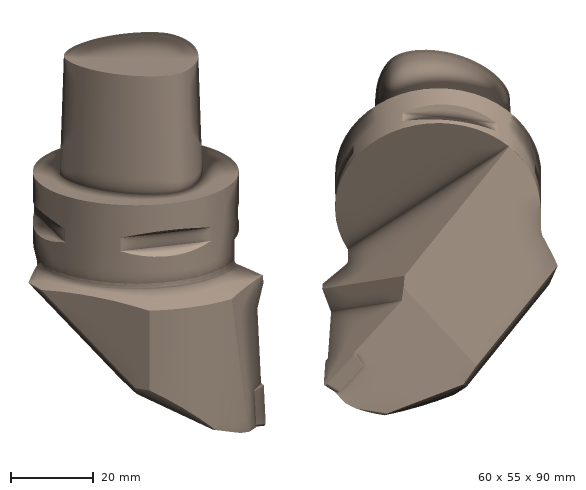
import cadquery as cq
import math


SHANK_HEIGHT = 30.0
SHANK_BASE_RADIUS = 17.3
SHANK_TIP_RADIUS = 16.3
SHANK_LOBE = 1.2
SHANK_POINTS = 48

FLANGE_DIAMETER = 50.0
FLANGE_RADIUS = FLANGE_DIAMETER / 2
FLANGE_HEIGHT = 14.9
GROOVE_COUNT = 4
GROOVE_FLOOR_DISTANCE = 22.1
GROOVE_FLOOR_WIDTH = 3.4
GROOVE_CENTER_Z = -10.2
GROOVE_OVERCUT = 0.9
GROOVE_WALL_ANGLE = 30

HEAD_RADIUS = 35.1
HEAD_BACK_Y = 3.9
HEAD_FRONT_Y = -30.0
HEAD_BOTTOM_Z = -60.0
NECK_BOTTOM_Z = -20.1
NECK_FILLET = 1.1
SHOULDER_ANGLE = 15
SLOPE_ANGLE = 40
SLOPE_KINK_X = 9.0
SLOPE_KINK_Z = -43.4
UNDERSIDE_ANGLE = 32
SIDE_TOP_X = 32.4
SIDE_TOP_Z = -23.0
SIDE_ANGLE = 3
SLOPE_CHAMFER = 3.1
FRONT_BEVEL_TOP_Z = -44.0
RELIEF_Y = -17.8
RELIEF_RATIO = 0.35

POCKET_ANGLE = 34
POCKET_EDGE_X = 7.3
POCKET_EDGE_Z = -41.9
POCKET_RAMP_WIDTH = 4.5
POCKET_DEPTH = 36.0

INSERT_SIDE = 11.2
INSERT_POINT_ANGLE = 55
INSERT_THICKNESS = 4.1
INSERT_CLEARANCE_ANGLE = 7
INSERT_NOSE_RADIUS = 0.8
INSERT_TIP_X = 35.0
INSERT_TIP_Z = HEAD_BOTTOM_Z


def tan_deg(angle):
    return math.tan(math.radians(angle))


def direction(angle):
    """Unit vector at an angle from +X in the XZ plane."""
    return cq.Vector(math.cos(math.radians(angle)), 0, math.sin(math.radians(angle)))


def lobed_outline(radius, height):
    """Closed three-lobed curve of constant width, with one lobe toward +Y."""
    points = []
    for i in range(SHANK_POINTS):
        t = 2 * math.pi * i / SHANK_POINTS
        along = radius * math.cos(t) + SHANK_LOBE * (2 * math.cos(2 * t) - math.cos(4 * t))
        across = radius * math.sin(t) - SHANK_LOBE * (2 * math.sin(2 * t) + math.sin(4 * t))
        points.append(cq.Vector(-across, along, height))
    return cq.Wire.assembleEdges([cq.Edge.makeSpline(points, periodic=True)])


def make_shank():
    base = lobed_outline(SHANK_BASE_RADIUS, 0)
    tip = lobed_outline(SHANK_TIP_RADIUS, SHANK_HEIGHT)
    return cq.Workplane(cq.Solid.makeLoft([base, tip]))


def make_groove():
    """Cutter for a flat-bottomed groove across the +X side of the flange."""
    rim_x = FLANGE_RADIUS + GROOVE_OVERCUT
    floor_half = GROOVE_FLOOR_WIDTH / 2
    rim_half = floor_half + (rim_x - GROOVE_FLOOR_DISTANCE) * tan_deg(GROOVE_WALL_ANGLE)
    return (
        cq.Workplane("XZ")
        .moveTo(GROOVE_FLOOR_DISTANCE, GROOVE_CENTER_Z - floor_half)
        .lineTo(rim_x, GROOVE_CENTER_Z - rim_half)
        .lineTo(rim_x, GROOVE_CENTER_Z + rim_half)
        .lineTo(GROOVE_FLOOR_DISTANCE, GROOVE_CENTER_Z + floor_half)
        .close()
        .extrude(FLANGE_RADIUS, both=True)
    )


def make_flange():
    flange = cq.Workplane("XY").circle(FLANGE_RADIUS).extrude(-FLANGE_HEIGHT)
    groove = make_groove()
    pitch = 360 / GROOVE_COUNT
    for i in range(GROOVE_COUNT):
        flange = flange.cut(groove.rotate((0, 0, 0), (0, 0, 1), (i + 0.5) * pitch))
    return flange


def head_turned():
    """Turned shape of the head: neck, neck fillet, conical shoulder and rim."""
    fillet_r = FLANGE_RADIUS + NECK_FILLET
    fillet_z = NECK_BOTTOM_Z - NECK_FILLET
    fillet_mid = NECK_FILLET * (1 - math.sqrt(0.5))
    rim_z = fillet_z - (HEAD_RADIUS - fillet_r) * tan_deg(SHOULDER_ANGLE)
    return (
        cq.Workplane("XZ")
        .moveTo(0, -FLANGE_HEIGHT)
        .lineTo(FLANGE_RADIUS, -FLANGE_HEIGHT)
        .lineTo(FLANGE_RADIUS, NECK_BOTTOM_Z)
        .threePointArc((FLANGE_RADIUS + fillet_mid, fillet_z + fillet_mid), (fillet_r, fillet_z))
        .lineTo(HEAD_RADIUS, rim_z)
        .lineTo(HEAD_RADIUS, HEAD_BOTTOM_Z)
        .lineTo(0, HEAD_BOTTOM_Z)
        .close()
        .revolve(360, (0, 0, 0), (0, 1, 0))
    )


def head_side_prism():
    """Outline of the head across X and Z, with the long slope chamfered at the front."""
    slope_top_x = SLOPE_KINK_X + (SLOPE_KINK_Z + FLANGE_HEIGHT) / tan_deg(SLOPE_ANGLE)
    side_top_x = SIDE_TOP_X - (-SIDE_TOP_Z - FLANGE_HEIGHT) * tan_deg(SIDE_ANGLE)
    side_lean = tan_deg(SIDE_ANGLE)
    fall = tan_deg(UNDERSIDE_ANGLE)
    drop = -SLOPE_KINK_Z - FLANGE_HEIGHT
    tip_x = (side_top_x + side_lean * (drop - fall * SLOPE_KINK_X)) / (1 - side_lean * fall)
    tip_z = SLOPE_KINK_Z - fall * (tip_x - SLOPE_KINK_X)
    prism = (
        cq.Workplane("XZ", origin=(0, HEAD_BACK_Y, 0))
        .moveTo(slope_top_x, -FLANGE_HEIGHT)
        .lineTo(side_top_x, -FLANGE_HEIGHT)
        .lineTo(tip_x, tip_z)
        .lineTo(SLOPE_KINK_X, SLOPE_KINK_Z)
        .close()
        .extrude(HEAD_BACK_Y - HEAD_FRONT_Y)
    )
    slope_middle = (
        (slope_top_x + SLOPE_KINK_X) / 2,
        HEAD_FRONT_Y,
        (SLOPE_KINK_Z - FLANGE_HEIGHT) / 2,
    )
    return prism.edges(cq.NearestToPointSelector(slope_middle)).chamfer(SLOPE_CHAMFER)


def head_end_prism():
    """Outline of the head across Y and Z: flat back, front bevel and relief."""
    relief_z = FRONT_BEVEL_TOP_Z - (RELIEF_Y - HEAD_FRONT_Y)
    relief_end_y = RELIEF_Y + (relief_z - HEAD_BOTTOM_Z) / RELIEF_RATIO
    return (
        cq.Workplane("YZ")
        .moveTo(HEAD_BACK_Y, -FLANGE_HEIGHT)
        .lineTo(HEAD_FRONT_Y, -FLANGE_HEIGHT)
        .lineTo(HEAD_FRONT_Y, FRONT_BEVEL_TOP_Z)
        .lineTo(RELIEF_Y, relief_z)
        .lineTo(relief_end_y, HEAD_BOTTOM_Z)
        .lineTo(HEAD_BACK_Y, HEAD_BOTTOM_Z)
        .close()
        .extrude(HEAD_RADIUS, both=True)
    )


def make_chip_pocket():
    """Cutter that lowers the back of the head to Y = 0 below an inclined ramp."""
    ramp_plane = cq.Plane(
        origin=(POCKET_EDGE_X, 0, POCKET_EDGE_Z),
        xDir=(0, 1, 0),
        normal=direction(POCKET_ANGLE).toTuple(),
    )
    return (
        cq.Workplane(ramp_plane)
        .moveTo(HEAD_BACK_Y, 0)
        .lineTo(0, -POCKET_RAMP_WIDTH)
        .lineTo(0, -POCKET_DEPTH)
        .lineTo(HEAD_BACK_Y, -POCKET_DEPTH)
        .close()
        .extrude(2 * HEAD_RADIUS, both=True)
    )


def make_insert():
    """Rhombic insert with its rake face at Y = 0 and sides tapering toward -Y."""
    long_side = direction(90 + SIDE_ANGLE) * INSERT_SIDE
    short_side = direction(90 + SIDE_ANGLE + INSERT_POINT_ANGLE) * INSERT_SIDE
    half_diagonal = INSERT_NOSE_RADIUS / math.sin(math.radians(INSERT_POINT_ANGLE / 2))
    nose_center = cq.Vector(INSERT_TIP_X - INSERT_NOSE_RADIUS, 0, INSERT_TIP_Z + INSERT_NOSE_RADIUS)
    tip = nose_center - direction(90 + SIDE_ANGLE + INSERT_POINT_ANGLE / 2) * half_diagonal
    corners = [tip, tip + long_side, tip + long_side + short_side, tip + short_side]
    blank = (
        cq.Workplane("XZ")
        .polyline([(corner.x, corner.z) for corner in corners])
        .close()
        .extrude(INSERT_THICKNESS, taper=INSERT_CLEARANCE_ANGLE)
    )
    tip_edge = cq.NearestToPointSelector((tip.x, -INSERT_THICKNESS / 2, tip.z))
    return blank.edges(tip_edge).fillet(INSERT_NOSE_RADIUS)


def make_holder(insert):
    head = head_turned().intersect(head_side_prism()).intersect(head_end_prism())
    head = head.cut(make_chip_pocket())
    return make_shank().union(make_flange()).union(head).cut(insert)


insert = make_insert()
holder = make_holder(insert)
result = cq.Compound.makeCompound([holder.val(), insert.val()])